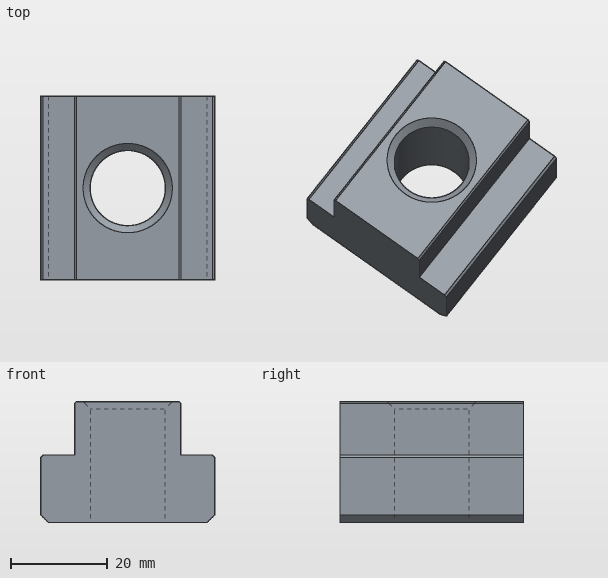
import cadquery as cq

length = 38.0
base_width = 36.0
total_height = 25.0

base_height = 14.0
stem_width = 22.0
bottom_chamfer = 1.6
base_edge_chamfer = 0.5
stem_edge_chamfer = 0.38

hole_diameter = 15.5
countersink_diameter = 18.45
countersink_depth = (countersink_diameter - hole_diameter) / 2


def make_base():
    """Wide lower bar, resting on Z = 0, with its long edges chamfered."""
    base = cq.Workplane("XY").box(base_width, length, base_height, centered=(True, True, False))
    base = base.faces("<Z").edges("|Y").chamfer(bottom_chamfer)
    return base.faces(">Z").edges("|Y").chamfer(base_edge_chamfer)


def make_stem():
    """Narrow bar running along the middle of the base, up to the top face."""
    stem = cq.Workplane("XY").box(stem_width, length, total_height, centered=(True, True, False))
    return stem.faces(">Z").edges("|Y").chamfer(stem_edge_chamfer)


def drill_hole(body):
    """Through hole, countersunk at the top."""
    bore = cq.Workplane("XY").circle(hole_diameter / 2).extrude(total_height)
    countersink = (
        cq.Workplane("XY", origin=(0, 0, total_height - countersink_depth))
        .circle(hole_diameter / 2)
        .workplane(offset=countersink_depth)
        .circle(countersink_diameter / 2)
        .loft(ruled=True)
    )
    return body.cut(bore).cut(countersink)


result = drill_hole(make_base().union(make_stem()))